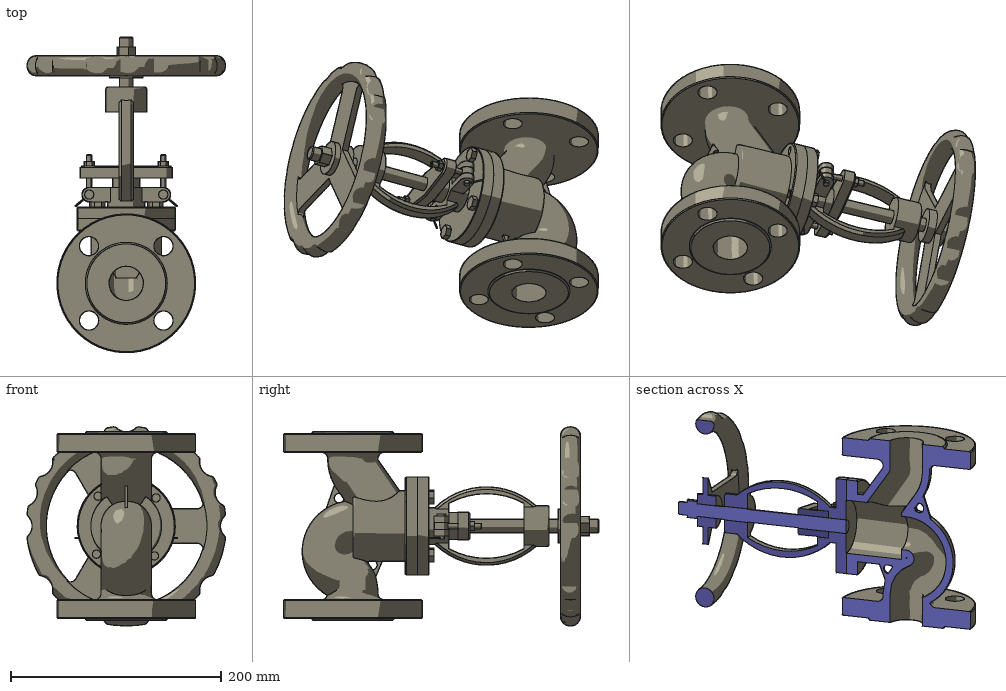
import cadquery as cq
import math


pipe_radius = 24.0
bore_radius = 32.5 / 2
face_height = 90.0
raised_face_radius = 39.0
raised_face_step = 2.0
raised_face_chamfer = 1.5
port_flange_radius = 66.0
port_flange_thickness = 18.0
port_flange_chamfer = 1.0
port_hole_radius = 9.0
port_hole_circle_radius = 50.0
port_hole_count = 4
port_hole_start_angle = 45.0
neck_fillet = 6.0
flange_inner_height = face_height - raised_face_step - port_flange_thickness

upper_bend_radius = 24.5
upper_bend_height = 63.0
upper_bend_angle = 35.0
main_bend_radius = 24.3
main_bend_y = 0.0
lower_bend_radius = 15.4

chamber_radius = 33.6
chamber_bore_radius = 26.0
chamber_floor = 5.0
chamber_end_fillet = 2.0
chamber_end_y = 0.0
passage_overlap = 1.0
rib_thickness = 2.6
rib_hole_radius = 4.5

joint_radius = 93.31 / 2
joint_y = 61.4
body_flange_y = 49.8
bonnet_top_y = 72.3
cover_chamfer = 0.6
joint_chamfer = 1.0
bolt_radius = 7.8 / 2
bolt_circle_radius = 39.0
bolt_count = 4
bolt_start_angle = 43.3
bolt_head_flats = 11.7
bolt_head_height = 5.0
bolt_reach = 5.0

tower_radius = 17.6
tower_end_y = 91.3
gland_neck_radius = 13.0
gland_recess_y = 80.0
head_radius = 19.5
head_start_y = 162.6
head_end_y = 186.6
head_fillet = 2.0
arm_width = 14.0
arm_chamfer = 2.5
arm_mid_y = 127.0
arm_outer_height = 37.3
arm_inner_height = 30.6
arm_root_height = 14.5
arm_outer_root_height = 17.5
arm_outer_span = 98.0
arm_inner_root_height = 21.5
lug_radius = 7.0
lug_outer_z = 9.5
lug_inner_z = 3.5

pivot_x = 35.2
pivot_y = tower_end_y - lug_radius
pin_radius = 5.2 / 2
pin_head_radius = 8.75 / 2
pin_head_height = 2.0
pin_end_z = -12.5
eye_radius = 6.5
stud_radius = 5.2 / 2
stud_end_y = 122.4
stud_chamfer = 0.7
stud_nut_flats = 8.38
stud_nut_height = 4.3
cotter_radius = 1.3 / 2
cotter_length = 17.0
cotter_angle = 220.0
cotter_z = -11.4

gland_start_y = 100.0
gland_end_y = 111.4
gland_mid_radius = 13.2
gland_end_radius = 8.6
gland_chamfer = 1.5

stem_radius = 6.5
stem_end_y = 234.0
stem_chamfer = 1.0
nut_flats = 16.4
nut_start_y = 214.5
nut_end_y = 224.8
nut_turn = 18.0

rim_tube_radius = 9.6
wheel_radius = 95.125
rim_radius = wheel_radius - rim_tube_radius
wheel_y = 206.8
hub_radius = 16.0
hub_start_y = 195.2
window_radius = 77.0
spoke_width = 33.0
spoke_count = 3
spoke_fillet = 6.0
spoke_start_y = 203.0
spoke_thickness = 6.0
grip_radius = 13.5
grip_depth = 5.5
grip_pitch = 18.0
grip_group_count = 5
grips_per_group = 3
grip_edge_fillet = 3.0
grip_reach = 12.0


def rod(radius, start_y, end_y, x=0, z=0):
    """Cylinder along Y."""
    start = cq.Vector(x, start_y, z)
    return cq.Workplane(cq.Solid.makeCylinder(radius, end_y - start_y, start, cq.Vector(0, 1, 0)))


def upright(radius, start_z, end_z, x=0, y=0):
    """Cylinder along Z."""
    return cq.Workplane("XY", origin=(x, y, start_z)).circle(radius).extrude(end_z - start_z)


def hexagon(flats, start_y, end_y, turn=0, x=0, z=0):
    """Hexagonal prism along Y with one corner at the angle `turn` from X towards Z."""
    prism = cq.Workplane("XZ").polygon(6, flats / math.cos(math.pi / 6)).extrude(start_y - end_y)
    return prism.rotate((0, 0, 0), (0, 1, 0), -turn).translate((x, start_y, z))


def pipe(radius, start, end):
    """Straight cylinder between two (Y, Z) points."""
    start_point = cq.Vector(0, *start)
    span = cq.Vector(0, *end) - start_point
    return cq.Workplane(cq.Solid.makeCylinder(radius, span.Length, start_point, span))


def elbow(radius, bend_radius, centre, start_angle, sweep_angle):
    """Pipe bend about an X axis through the (Y, Z) centre; angles run from +Y towards +Z.

    When the pipe is thicker than the bend, the section stops at the bend axis.
    """
    section = cq.Workplane("XY")
    if bend_radius > radius:
        section = section.moveTo(0, bend_radius).circle(radius)
    else:
        half_chord = math.sqrt(radius**2 - bend_radius**2)
        section = (
            section.moveTo(-half_chord, 0)
            .threePointArc((0, bend_radius + radius), (half_chord, 0))
            .close()
        )
    return (
        section.revolve(sweep_angle, (0, 0, 0), (1, 0, 0), combine=False)
        .rotate((0, 0, 0), (1, 0, 0), start_angle)
        .translate((0, *centre))
    )


def polar(centre, radius, angle):
    """Point at an angle around a centre."""
    return (
        centre[0] + radius * math.cos(math.radians(angle)),
        centre[1] + radius * math.sin(math.radians(angle)),
    )


upper_centre = (upper_bend_radius, upper_bend_height)
upper_bend_end = polar(upper_centre, upper_bend_radius, 180 + upper_bend_angle)
upper_reach = upper_bend_end[1] / math.cos(math.radians(upper_bend_angle))
upper_end = polar(upper_bend_end, upper_reach, upper_bend_angle - 90)

main_centre = (main_bend_y, -main_bend_radius)
centre_distance = main_bend_radius + lower_bend_radius
lower_angle = math.degrees(math.acos((main_bend_y + lower_bend_radius) / centre_distance))
lower_centre = (
    -lower_bend_radius,
    main_centre[1] - centre_distance * math.sin(math.radians(lower_angle)),
)


def passage(radius):
    """Pipe-shaped solid that follows both ports into the chamber."""
    port_end = face_height - raised_face_step
    return (
        pipe(radius, (0, port_end), (0, upper_bend_height))
        .union(elbow(radius, upper_bend_radius, upper_centre, 180, upper_bend_angle))
        .union(pipe(radius, upper_bend_end, upper_end))
        .union(pipe(radius, (chamber_floor + passage_overlap, 0), (main_bend_y, 0)))
        .union(elbow(radius, main_bend_radius, main_centre, 90, 90 + lower_angle))
        .union(elbow(radius, lower_bend_radius, lower_centre, 0, lower_angle))
        .union(pipe(radius, (0, lower_centre[1]), (0, -port_end)))
    )


def port_flange():
    """Upper flange with its raised face, bolt holes and filleted neck."""
    plate = upright(port_flange_radius, flange_inner_height, face_height - raised_face_step)
    plate = plate.edges("%CIRCLE").chamfer(port_flange_chamfer)
    neck = (
        cq.Workplane("XZ")
        .moveTo(0, flange_inner_height)
        .lineTo(pipe_radius + neck_fillet, flange_inner_height)
        .radiusArc((pipe_radius, flange_inner_height - neck_fillet), -neck_fillet)
        .lineTo(0, flange_inner_height - neck_fillet)
        .close()
        .revolve(360, (0, 0, 0), (0, 1, 0))
    )
    holes = (
        cq.Workplane("XY", origin=(0, 0, flange_inner_height))
        .polarArray(port_hole_circle_radius, port_hole_start_angle, 360, port_hole_count)
        .circle(port_hole_radius)
        .extrude(port_flange_thickness)
    )
    face = upright(raised_face_radius, face_height - raised_face_step, face_height)
    face = face.faces(">Z").edges().chamfer(raised_face_chamfer)
    return plate.union(face).union(neck).cut(holes)


def bolt_places():
    """(X, Z) centres of the joint bolts."""
    angles = [bolt_start_angle + i * 360 / bolt_count for i in range(bolt_count)]
    return [polar((0, 0), bolt_circle_radius, angle) for angle in angles]


def ribs():
    """Thin webs in the plane X = 0 that stiffen the corners between the pipes."""
    upper_web = [(12, 22), (0, 44), (-18, 38), (-25, 17.5)]
    lower_web = [(29, -31), (20, -53), (0, -53), (0, -31)]
    upper_hole = (-13, 26.5)
    lower_hole = (18.5, -37)
    webs = cq.Workplane("XY")
    for outline, hole in ((upper_web, upper_hole), (lower_web, lower_hole)):
        web = cq.Workplane("YZ").polyline(outline).close().extrude(rib_thickness / 2, both=True)
        opening = cq.Workplane("YZ").center(*hole).circle(rib_hole_radius).extrude(rib_thickness, both=True)
        webs = webs.union(web.cut(opening))
    return webs


def make_body():
    """Pipework, chamber and flanges, hollowed by the ports and the chamber bore."""
    chamber = rod(chamber_radius, chamber_end_y, joint_y).faces("<Y").edges().fillet(chamber_end_fillet)
    joint_flange = rod(joint_radius, body_flange_y, joint_y).faces("<Y").edges().chamfer(joint_chamfer)
    flange = port_flange()
    body = passage(pipe_radius).union(chamber)
    body = body.union(flange).union(flange.mirror("XY")).union(ribs())
    body = body.cut(passage(bore_radius)).cut(rod(chamber_bore_radius, chamber_floor, joint_y))
    ring = joint_flange.cut(rod(chamber_bore_radius, body_flange_y, joint_y))
    body = body.union(ring)
    body = body.cut(upright(bore_radius, flange_inner_height, face_height))
    body = body.cut(upright(bore_radius, -face_height, -flange_inner_height))
    for x, z in bolt_places():
        body = body.cut(rod(bolt_radius, body_flange_y, joint_y, x, z))
    return body


def yoke_arms():
    """Bowed arms above and below the stem, joining the tower to the head."""
    start_y = arm_mid_y - arm_outer_span / 2
    end_y = arm_mid_y + arm_outer_span / 2
    profile = (
        cq.Workplane("YZ")
        .moveTo(start_y, arm_root_height)
        .lineTo(start_y, arm_outer_root_height)
        .threePointArc((arm_mid_y, arm_outer_height), (end_y, arm_outer_root_height))
        .lineTo(end_y, arm_root_height)
        .lineTo(head_start_y, arm_root_height)
        .lineTo(head_start_y, arm_inner_root_height)
        .threePointArc((arm_mid_y, arm_inner_height), (tower_end_y, arm_inner_root_height))
        .lineTo(tower_end_y, arm_root_height)
        .close()
    )
    arm = profile.extrude(arm_width / 2, both=True)
    for side in (-1, 1):
        above_edge = (side * arm_width / 2, arm_mid_y, 2 * arm_outer_height)
        arm = arm.edges(cq.selectors.NearestToPointSelector(above_edge)).chamfer(arm_chamfer)
    return arm.union(arm.mirror("XY"))


def hinge_lugs():
    """Forked lugs on both sides of the tower that hold the eyebolt pins."""
    bar = (
        cq.Workplane("XY", origin=(0, pivot_y, 0))
        .slot2D(2 * (pivot_x + lug_radius), 2 * lug_radius)
        .extrude(lug_outer_z, both=True)
    )
    for side in (-1, 1):
        gap = (
            cq.Workplane("XY", origin=(side * (tower_radius + pivot_x), pivot_y, 0))
            .rect(2 * pivot_x, 4 * lug_radius)
            .extrude(lug_inner_z, both=True)
        )
        bar = bar.cut(gap)
        bar = bar.cut(upright(pin_radius, -lug_outer_z, lug_outer_z, side * pivot_x, pivot_y))
    return bar


def make_bonnet():
    """Cover with its bolts, tower, hinge lugs, yoke arms and head."""
    cover = rod(joint_radius, joint_y, bonnet_top_y).faces(">Y").edges().chamfer(cover_chamfer)
    head = rod(head_radius, head_start_y, head_end_y).faces(">Y").edges().fillet(head_fillet)
    bonnet = cover.union(rod(tower_radius, bonnet_top_y, tower_end_y))
    bonnet = bonnet.union(head).union(yoke_arms()).union(hinge_lugs())
    for x, z in bolt_places():
        bolt_head = hexagon(bolt_head_flats, bonnet_top_y, bonnet_top_y + bolt_head_height, 0, x, z)
        shank = rod(bolt_radius, joint_y - bolt_reach, bonnet_top_y, x, z)
        bonnet = bonnet.union(bolt_head).union(shank)
    bonnet = bonnet.cut(rod(gland_neck_radius, gland_recess_y, tower_end_y))
    return bonnet.cut(rod(stem_radius, joint_y, head_end_y))


def make_gland():
    """Lens-shaped plate with straight tapered sides and a neck that enters the tower."""
    lean = math.asin((gland_mid_radius - gland_end_radius) / pivot_x)
    mid_x = gland_mid_radius * math.sin(lean)
    mid_z = gland_mid_radius * math.cos(lean)
    end_x = pivot_x + gland_end_radius * math.sin(lean)
    end_z = gland_end_radius * math.cos(lean)
    tip_x = pivot_x + gland_end_radius
    plate = (
        cq.Workplane("XZ", origin=(0, gland_start_y, 0))
        .moveTo(-mid_x, mid_z)
        .threePointArc((0, gland_mid_radius), (mid_x, mid_z))
        .lineTo(end_x, end_z)
        .threePointArc((tip_x, 0), (end_x, -end_z))
        .lineTo(mid_x, -mid_z)
        .threePointArc((0, -gland_mid_radius), (-mid_x, -mid_z))
        .lineTo(-end_x, -end_z)
        .threePointArc((-tip_x, 0), (-end_x, end_z))
        .close()
        .extrude(gland_start_y - gland_end_y)
        .faces(">Y")
        .edges()
        .chamfer(gland_chamfer)
    )
    gland = plate.union(rod(gland_neck_radius, gland_recess_y, gland_start_y))
    gland = gland.cut(rod(stem_radius, gland_recess_y, gland_end_y))
    for side in (-1, 1):
        gland = gland.cut(rod(stud_radius, gland_start_y, gland_end_y, side * pivot_x))
    return gland


def make_eyebolt(side):
    """Eyebolt with its nut, swung up through the gland."""
    stud = rod(stud_radius, pivot_y, stud_end_y, side * pivot_x).faces(">Y").edges().chamfer(stud_chamfer)
    nut = hexagon(stud_nut_flats, gland_end_y, gland_end_y + stud_nut_height, 0, side * pivot_x)
    eye = upright(eye_radius, -lug_inner_z, lug_inner_z, side * pivot_x, pivot_y)
    hole = upright(pin_radius, -lug_inner_z, lug_inner_z, side * pivot_x, pivot_y)
    return stud.union(nut).union(eye).cut(hole)


def make_hinge_pin(side):
    """Headed pin through lug and eye, held by a cotter that points outwards."""
    shank = upright(pin_radius, pin_end_z, lug_outer_z)
    head = upright(pin_head_radius, lug_outer_z, lug_outer_z + pin_head_height)
    end_x, end_y = polar((0, 0), 1, cotter_angle)
    cotter = cq.Workplane(
        cq.Solid.makeCylinder(
            cotter_radius, cotter_length, cq.Vector(0, 0, cotter_z), cq.Vector(end_x, end_y, 0)
        )
    )
    pin = shank.union(head).union(cotter)
    if side > 0:
        pin = pin.mirror("YZ")
    return pin.translate((side * pivot_x, pivot_y, 0))


def make_stem():
    """Round stem with the nut that holds the handwheel."""
    stem = rod(stem_radius, joint_y, stem_end_y).faces(">Y").edges().chamfer(stem_chamfer)
    return stem.union(hexagon(nut_flats, nut_start_y, nut_end_y, nut_turn))


def make_spokes():
    """Flat disc with three windows, rounded where the spokes run into the rim."""
    end_y = spoke_start_y + spoke_thickness
    windows = rod(window_radius, spoke_start_y, end_y)
    for i in range(spoke_count):
        spoke = (
            cq.Workplane("XZ", origin=(0, spoke_start_y, 0))
            .center(rim_radius / 2, 0)
            .rect(rim_radius, spoke_width)
            .extrude(-spoke_thickness)
            .rotate((0, 0, 0), (0, 1, 0), -i * 360 / spoke_count)
        )
        windows = windows.cut(spoke)
    outer_corners = windows.edges("|Y").filter(
        lambda edge: math.hypot(edge.Center().x, edge.Center().z) > window_radius / 2
    )
    windows = outer_corners.fillet(spoke_fillet)
    return rod(rim_radius, spoke_start_y, end_y).cut(windows)


def make_handwheel():
    """Round rim with groups of three finger grips, flat spokes and a hub."""
    start_angle = -grips_per_group * grip_pitch
    section_plane = cq.Plane(origin=(rim_radius, wheel_y, 0), xDir=(-1, 0, 0), normal=(0, 0, 1))
    rim = (
        cq.Workplane(section_plane)
        .circle(rim_tube_radius)
        .revolve(360, (rim_radius, 0, 0), (rim_radius, 1, 0))
        .rotate((0, 0, 0), (0, 1, 0), start_angle)
    )
    grip_centre_radius = wheel_radius - grip_depth + grip_radius
    for group in range(grip_group_count):
        for place in range(grips_per_group):
            angle = group * 360 / grip_group_count + place * grip_pitch
            x, z = polar((0, 0), grip_centre_radius, angle)
            grip = rod(grip_radius, wheel_y - grip_reach, wheel_y + grip_reach, x, z)
            rim = rim.cut(grip, clean=False)
    rim = rim.edges("not %CIRCLE").fillet(grip_edge_fillet)
    hub = rod(hub_radius, hub_start_y, nut_start_y)
    wheel = rim.union(make_spokes().union(hub), clean=False)
    return wheel.cut(rod(stem_radius, hub_start_y, nut_start_y), clean=False)


body = make_body()
bonnet = make_bonnet()
gland = make_gland()
stem = make_stem()
handwheel = make_handwheel()
eyebolts = [make_eyebolt(side) for side in (-1, 1)]
hinge_pins = [make_hinge_pin(side) for side in (-1, 1)]

main_parts = [body, bonnet, gland, stem, handwheel]
solids = [solid for part in main_parts + eyebolts + hinge_pins for solid in part.solids().vals()]
result = cq.Compound.makeCompound(solids)